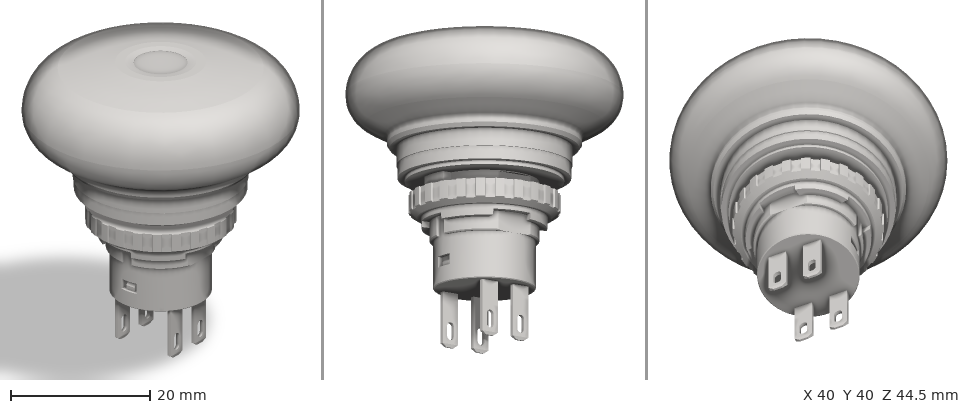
import cadquery as cq
import math


TOTAL_HEIGHT = 44.5
HEAD_BOTTOM_Z = 28.95
COLLAR_STEP_Z = 26.4
COLLAR_BOTTOM_Z = 24.48
FLANGE_BOTTOM_Z = 23.9
NUT_TOP_Z = 22.03
NUT_BOTTOM_Z = 17.0
SLEEVE_BOTTOM_Z = 15.05
HOUSING_BOTTOM_Z = 8.1

HEAD_RADIUS = 20.003
HEAD_WIDEST_Z = 36.75
UPPER_BULGE_RADIUS = 6.95
DOME_EDGE_RADIUS = 14.8
DOME_SPHERE_RADIUS = 86.35
TOP_FLAT_RADIUS = 6.55
DISH_RADIUS = 5.1
DISH_DEPTH = 0.15
LENS_RADIUS = 3.85
LENS_DEPTH = 0.2
LOWER_BULGE_RADIUS = 4.95
CONE_ANGLE = math.radians(28)
NECK_RADIUS = 14.05
NECK_FILLET = 0.65
NECK_CHAMFER_WIDTH = 0.4
NECK_CHAMFER_HEIGHT = 0.6

COLLAR_RADIUS = 12.7
LOWER_COLLAR_RADIUS = 12.5
FLANGE_RADIUS = 11.5
SLEEVE_RADIUS = 7.9
SLEEVE_CHAMFER = 0.2
CORE_RADIUS = 7.4
CORE_CHAMFER = 0.15
CUT_TOP_Z = FLANGE_BOTTOM_Z - 0.15
SLOT_WIDTH = 1.85
KEY_WIDTH = 4.45
KEY_RADIUS = 9.3

WINDOW_WIDTH = 2.75
WINDOW_HEIGHT = 1.6
WINDOW_BOTTOM_Z = 10.55
WINDOW_DEPTH = 0.8
LATCH_WIDTH = 1.5
LATCH_HEIGHT = 1.05
LATCH_FRONT_HEIGHT = 0.65
LATCH_DEPTH = 0.35

TERMINAL_X = 4.85
TERMINAL_Y = 2.7
TERMINAL_THICKNESS = 0.6
TERMINAL_WIDTH = 2.7
TIP_HEIGHT = 0.5
TIP_CORNER = 0.7
TIP_BEVEL = 0.15
EYE_WIDTH = 1.2
EYE_LENGTH = 2.63
EYE_Z = 2.4

NUT_RADIUS = 10.9
NUT_RIM_BOTTOM_Z = 19.35
NUT_CONE_BOTTOM_Z = 18.6
NUT_CONE_RADIUS = 9.7
NUT_HUB_RADIUS = 9.15
NUT_HUB_BOTTOM_RADIUS = 9.05
GROOVE_COUNT = 24
GROOVE_PITCH = 360 / GROOVE_COUNT
GROOVE_DEPTH = 0.25
GROOVE_MOUTH = 1.55
GROOVE_FLOOR = 1.35
GROOVE_PHASE = -1.6
NOTCH_COUNT = 4
NOTCH_WIDTH = 6.0
NOTCH_HEIGHT = 0.9
NOTCH_PHASE = -8.7


def cylinder(radius, bottom, top):
    return cq.Workplane("XY").workplane(offset=bottom).circle(radius).extrude(top - bottom)


def box(x_size, y_size, bottom, top):
    """Box centred on the axis between two heights."""
    return cq.Workplane("XY").workplane(offset=bottom).rect(x_size, y_size).extrude(top - bottom)


def bulge_point(radius, angle):
    """Point on a bulge arc that is vertical at the widest level; angle is measured from horizontal."""
    centre = HEAD_RADIUS - radius
    return (centre + radius * math.cos(angle), HEAD_WIDEST_Z + radius * math.sin(angle))


def make_head():
    bulge_centre = HEAD_RADIUS - UPPER_BULGE_RADIUS
    upper_angle = math.acos((DOME_EDGE_RADIUS - bulge_centre) / UPPER_BULGE_RADIUS)
    dome_edge = bulge_point(UPPER_BULGE_RADIUS, upper_angle)
    upper_middle = bulge_point(UPPER_BULGE_RADIUS, upper_angle / 2)

    lower_angle = CONE_ANGLE - math.pi / 2
    cone_top = bulge_point(LOWER_BULGE_RADIUS, lower_angle)
    lower_middle = bulge_point(LOWER_BULGE_RADIUS, lower_angle / 2)

    corner_z = cone_top[1] - (cone_top[0] - NECK_RADIUS) * math.tan(CONE_ANGLE)
    tangent = NECK_FILLET * math.tan((math.pi / 2 - CONE_ANGLE) / 2)
    cone_end = (
        NECK_RADIUS + tangent * math.cos(CONE_ANGLE),
        corner_z + tangent * math.sin(CONE_ANGLE),
    )
    neck_top = (NECK_RADIUS, corner_z - tangent)

    profile = (
        cq.Workplane("XZ")
        .moveTo(0, HEAD_BOTTOM_Z)
        .lineTo(NECK_RADIUS - NECK_CHAMFER_WIDTH, HEAD_BOTTOM_Z)
        .lineTo(NECK_RADIUS, HEAD_BOTTOM_Z + NECK_CHAMFER_HEIGHT)
        .lineTo(*neck_top)
        .radiusArc(cone_end, NECK_FILLET)
        .lineTo(*cone_top)
        .threePointArc(lower_middle, (HEAD_RADIUS, HEAD_WIDEST_Z))
        .threePointArc(upper_middle, dome_edge)
        .radiusArc((TOP_FLAT_RADIUS, TOTAL_HEIGHT), -DOME_SPHERE_RADIUS)
        .lineTo(DISH_RADIUS, TOTAL_HEIGHT)
        .lineTo(LENS_RADIUS, TOTAL_HEIGHT - DISH_DEPTH)
        .lineTo(LENS_RADIUS, TOTAL_HEIGHT - LENS_DEPTH)
        .lineTo(0, TOTAL_HEIGHT - LENS_DEPTH)
        .close()
    )
    return profile.revolve(360, (0, 0, 0), (0, 1, 0))


def make_sleeve():
    """Sleeve with two flats on X, tangent to the core, and two slots on Y."""
    sleeve = cylinder(SLEEVE_RADIUS, SLEEVE_BOTTOM_Z, FLANGE_BOTTOM_Z)
    sleeve = sleeve.faces("<Z").chamfer(SLEEVE_CHAMFER)
    uncut_top = cylinder(SLEEVE_RADIUS, CUT_TOP_Z, FLANGE_BOTTOM_Z)
    between_flats = box(2 * CORE_RADIUS, 2 * SLEEVE_RADIUS, SLEEVE_BOTTOM_Z, CUT_TOP_Z)
    slots = box(SLOT_WIDTH, 2 * SLEEVE_RADIUS, SLEEVE_BOTTOM_Z, CUT_TOP_Z)
    return sleeve.intersect(between_flats).cut(slots).union(uncut_top)


def make_key():
    """Locating key on the +Y side, under the flange."""
    bar = box(KEY_WIDTH, KEY_RADIUS, NUT_TOP_Z, FLANGE_BOTTOM_Z).translate((0, KEY_RADIUS / 2, 0))
    return bar.intersect(cylinder(KEY_RADIUS, NUT_TOP_Z, FLANGE_BOTTOM_Z))


def make_window():
    """Cutter for the latch window on the -Y side, leaving the latch standing inside."""
    floor_y = WINDOW_DEPTH - CORE_RADIUS
    window_top = WINDOW_BOTTOM_Z + WINDOW_HEIGHT
    opening = box(WINDOW_WIDTH, 2 * WINDOW_DEPTH, WINDOW_BOTTOM_Z, window_top)
    opening = opening.translate((0, floor_y - WINDOW_DEPTH, 0))
    latch = (
        cq.Workplane("YZ")
        .moveTo(floor_y, WINDOW_BOTTOM_Z)
        .lineTo(floor_y - LATCH_DEPTH, WINDOW_BOTTOM_Z)
        .lineTo(floor_y - LATCH_DEPTH, WINDOW_BOTTOM_Z + LATCH_FRONT_HEIGHT)
        .lineTo(floor_y, WINDOW_BOTTOM_Z + LATCH_HEIGHT)
        .close()
        .extrude(LATCH_WIDTH / 2, both=True)
    )
    return opening.cut(latch)


def make_terminal():
    """Flat solder terminal with a bevelled tip and an oblong eye, centred on the axis."""
    terminal = (
        box(TERMINAL_THICKNESS, TERMINAL_WIDTH, 0, HOUSING_BOTTOM_Z)
        .faces("<Z")
        .edges("|X")
        .chamfer(TIP_HEIGHT, TIP_CORNER)
        .faces("<Z")
        .edges("|Y")
        .chamfer(TIP_HEIGHT, TIP_BEVEL)
    )
    eye = (
        cq.Workplane("YZ")
        .center(0, EYE_Z)
        .slot2D(EYE_LENGTH, EYE_WIDTH, 90)
        .extrude(TERMINAL_THICKNESS, both=True)
    )
    return terminal.cut(eye)


def make_housing():
    core = cylinder(CORE_RADIUS, HOUSING_BOTTOM_Z, FLANGE_BOTTOM_Z)
    core = core.faces("<Z").chamfer(CORE_CHAMFER)
    housing = (
        core.union(make_sleeve())
        .union(make_key())
        .union(cylinder(FLANGE_RADIUS, FLANGE_BOTTOM_Z, COLLAR_BOTTOM_Z))
        .union(cylinder(LOWER_COLLAR_RADIUS, COLLAR_BOTTOM_Z, COLLAR_STEP_Z))
        .union(cylinder(COLLAR_RADIUS, COLLAR_STEP_Z, HEAD_BOTTOM_Z))
    )
    window = make_window()
    housing = housing.cut(window).cut(window.mirror("XZ"))
    terminal = make_terminal()
    for x in (-TERMINAL_X, TERMINAL_X):
        for y in (-TERMINAL_Y, TERMINAL_Y):
            housing = housing.union(terminal.translate((x, y, 0)))
    return housing


def make_nut_blank():
    profile = (
        cq.Workplane("XZ")
        .moveTo(SLEEVE_RADIUS, NUT_TOP_Z)
        .lineTo(NUT_RADIUS, NUT_TOP_Z)
        .lineTo(NUT_RADIUS, NUT_RIM_BOTTOM_Z)
        .lineTo(NUT_CONE_RADIUS, NUT_CONE_BOTTOM_Z)
        .lineTo(NUT_HUB_RADIUS, NUT_CONE_BOTTOM_Z)
        .lineTo(NUT_HUB_BOTTOM_RADIUS, NUT_BOTTOM_Z)
        .lineTo(SLEEVE_RADIUS, NUT_BOTTOM_Z)
        .close()
    )
    return profile.revolve(360, (0, 0, 0), (0, 1, 0))


def make_groove():
    """Cutter for one flat-floored grip groove on the -Y side, flaring outwards."""
    mouth = GROOVE_MOUTH / 2
    floor = GROOVE_FLOOR / 2
    return (
        cq.Workplane("XY")
        .workplane(offset=NUT_CONE_BOTTOM_Z)
        .polyline([
            (-floor, GROOVE_DEPTH - NUT_RADIUS),
            (-mouth, -NUT_RADIUS),
            (mouth, -NUT_RADIUS),
            (floor, GROOVE_DEPTH - NUT_RADIUS),
        ])
        .close()
        .extrude(NUT_TOP_Z - NUT_CONE_BOTTOM_Z)
    )


def make_nut():
    nut = make_nut_blank()
    groove = make_groove()
    for index in range(GROOVE_COUNT):
        nut = nut.cut(groove.rotate((0, 0, 0), (0, 0, 1), GROOVE_PHASE + index * GROOVE_PITCH))
    notch = box(NOTCH_WIDTH, NUT_HUB_RADIUS, NUT_BOTTOM_Z, NUT_BOTTOM_Z + NOTCH_HEIGHT)
    notch = notch.translate((0, -NUT_HUB_RADIUS / 2 - NOTCH_WIDTH / 2, 0))
    for index in range(NOTCH_COUNT):
        angle = NOTCH_PHASE + index * 360 / NOTCH_COUNT
        nut = nut.cut(notch.rotate((0, 0, 0), (0, 0, 1), angle))
    return nut


head = make_head()
housing = make_housing()
nut = make_nut()

result = cq.Compound.makeCompound([head.val(), housing.val(), nut.val()])